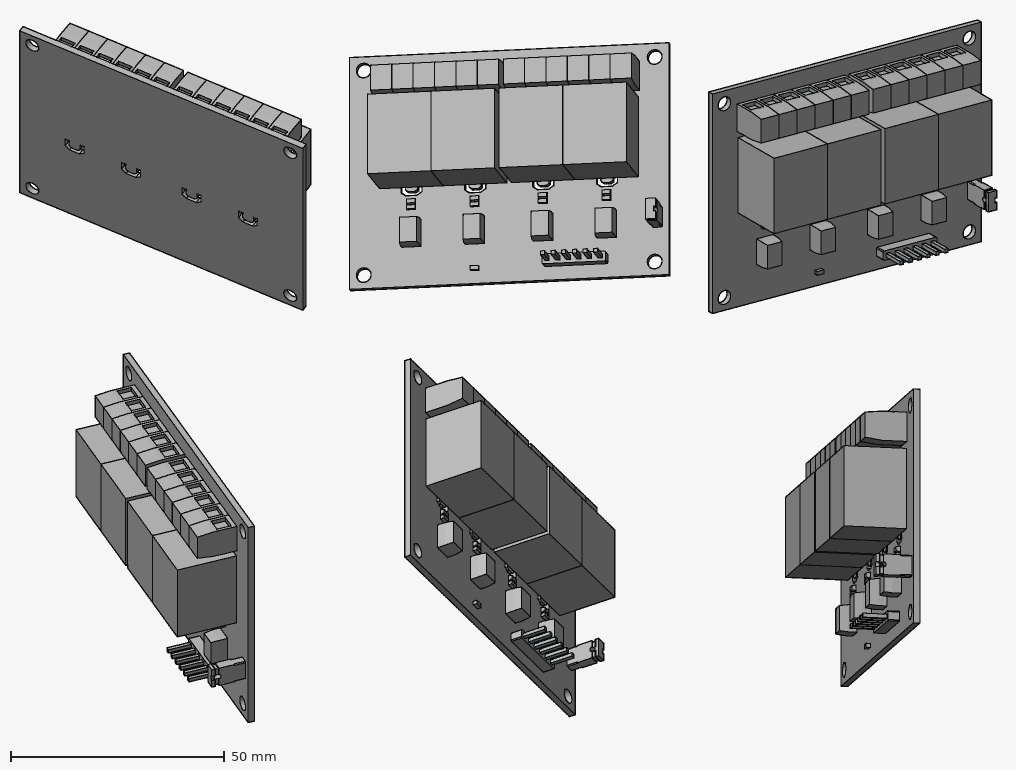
import cadquery as cq

BOARD_WIDTH = 76.3
BOARD_HEIGHT = 56.0
BOARD_THICKNESS = 1.6
MOUNT_HOLE_DIAMETER = 3.5
MOUNT_HOLE_X = 34.75
MOUNT_HOLE_Z = 24.7

PAIR_GAP = 1.12
RELAY_WIDTH = 15.15
RELAY_GAP = 0.06
RELAY_DEPTH = 15.0
RELAY_BOTTOM = -4.05
RELAY_TOP = 15.17
INNER_RELAY_X = (PAIR_GAP + RELAY_WIDTH) / 2
RELAY_PITCH = RELAY_WIDTH + RELAY_GAP
CHANNEL_X = (
    -INNER_RELAY_X - RELAY_PITCH,
    -INNER_RELAY_X,
    INNER_RELAY_X,
    INNER_RELAY_X + RELAY_PITCH,
)

SLOT_OUTER_HALF_WIDTH = 2.52
SLOT_INNER_HALF_WIDTH = 1.45
SLOT_TOP = -2.97
SLOT_OUTER_CORNER = -5.2
SLOT_BOTTOM = -6.02
SLOT_BOTTOM_HALF_WIDTH = 1.3
SLOT_INNER_CORNER = -4.6
SLOT_INNER_BOTTOM = -5.07
SLOT_INNER_BOTTOM_HALF_WIDTH = 0.8

POLE_COUNT = 6
POLE_PITCH = 5.11
POLE_WIDTH = 5.06
TERMINAL_DEPTH = 10.03
TERMINAL_STRAIGHT_DEPTH = 6.0
TERMINAL_TOP = 23.8
TERMINAL_BOTTOM = 16.8
TERMINAL_TIP_TOP = 23.4
TERMINAL_TIP_BOTTOM = 17.35
WIRE_ENTRY_SIZE = 3.6
WIRE_ENTRY_CENTRE_DEPTH = 2.92
WIRE_ENTRY_RECESS = 1.0

HEADER_WIDTH = 2.4
HEADER_DEPTH = 2.8
HEADER_CHAMFER = 0.25

JUMPER_X = -35.43
JUMPER_Z = -14.0
JUMPER_HEIGHT = 4.95
JUMPER_DEPTH = 8.63
JUMPER_GROOVE_BOTTOM = 6.8
JUMPER_GROOVE_TOP = 7.7
JUMPER_GROOVE_RECESS = 0.25
JUMPER_SLOT_WIDTH = 1.15
JUMPER_SLOT_BOTTOM = 6.25
JUMPER_NOTCH_RECESS = 0.5

INPUT_PIN_COUNT = 6
INPUT_PIN_PITCH = 2.54
INPUT_PIN_SIZE = 0.95
INPUT_PIN_DEPTH = 8.63
INPUT_HEADER_X = -16.0
INPUT_HEADER_Z = -23.5

OPTO_WIDTH = 4.6
OPTO_HEIGHT = 6.5
OPTO_BOTTOM = -18.45
OPTO_DEPTH = 4.2
OPTO_STRAIGHT_DEPTH = 2.1
OPTO_DRAFT_INSET = 0.25

CHIP_DEPTH = 1.0
CHIP_LENGTH = 2.0
CHIP_HEIGHT = 0.95
LED_Z = -7.55
LED_BASE_HEIGHT = 1.45
LED_TIP_HEIGHT = 0.95
CHANNEL_RESISTOR_Z = -8.98
INPUT_RESISTOR_Z = -24.38


def block(x, z, width, height, depth, start=0.0):
    """Box centred on x and z, running from start to depth above the component side."""
    return cq.Workplane("XY").box(width, depth - start, height).translate(
        (x, BOARD_THICKNESS + (start + depth) / 2, z)
    )


def profile_along_x(points, x, width):
    """Prism centred on x whose section is given as (depth, z) points."""
    section = [(BOARD_THICKNESS + depth, z) for depth, z in points]
    return cq.Workplane("YZ").polyline(section).close().extrude(width / 2, both=True).translate((x, 0, 0))


def through_board(outline):
    """Extrude an XZ sketch from the bare face through the board."""
    return outline.extrude(-BOARD_THICKNESS)


def slot_cutter(x):
    right_side = [
        (SLOT_INNER_BOTTOM_HALF_WIDTH, SLOT_INNER_BOTTOM),
        (SLOT_INNER_HALF_WIDTH, SLOT_INNER_CORNER),
        (SLOT_INNER_HALF_WIDTH, SLOT_TOP),
        (SLOT_OUTER_HALF_WIDTH, SLOT_TOP),
        (SLOT_OUTER_HALF_WIDTH, SLOT_OUTER_CORNER),
        (SLOT_BOTTOM_HALF_WIDTH, SLOT_BOTTOM),
    ]
    left_side = [(-px, pz) for px, pz in reversed(right_side)]
    return through_board(cq.Workplane("XZ").polyline(right_side + left_side).close()).translate((x, 0, 0))


def make_board():
    board = through_board(cq.Workplane("XZ").rect(BOARD_WIDTH, BOARD_HEIGHT))
    holes = (
        cq.Workplane("XZ")
        .rect(2 * MOUNT_HOLE_X, 2 * MOUNT_HOLE_Z, forConstruction=True)
        .vertices()
        .circle(MOUNT_HOLE_DIAMETER / 2)
    )
    board = board.cut(through_board(holes))
    for x in CHANNEL_X:
        board = board.cut(slot_cutter(x))
    return board


def make_relay(x):
    return block(x, (RELAY_TOP + RELAY_BOTTOM) / 2, RELAY_WIDTH, RELAY_TOP - RELAY_BOTTOM, RELAY_DEPTH)


def make_terminal_pole(x):
    section = [
        (0, TERMINAL_BOTTOM),
        (TERMINAL_STRAIGHT_DEPTH, TERMINAL_BOTTOM),
        (TERMINAL_DEPTH, TERMINAL_TIP_BOTTOM),
        (TERMINAL_DEPTH, TERMINAL_TIP_TOP),
        (TERMINAL_STRAIGHT_DEPTH, TERMINAL_TOP),
        (0, TERMINAL_TOP),
    ]
    wire_entry = block(
        x,
        TERMINAL_TOP - WIRE_ENTRY_RECESS / 2,
        WIRE_ENTRY_SIZE,
        WIRE_ENTRY_RECESS,
        WIRE_ENTRY_CENTRE_DEPTH + WIRE_ENTRY_SIZE / 2,
        WIRE_ENTRY_CENTRE_DEPTH - WIRE_ENTRY_SIZE / 2,
    )
    return profile_along_x(section, x, POLE_WIDTH).cut(wire_entry)


def make_header_body(x, z, width, height):
    return block(x, z, width, height, HEADER_DEPTH).edges("|Y").chamfer(HEADER_CHAMFER)


def make_jumper():
    header = make_header_body(JUMPER_X, JUMPER_Z, HEADER_WIDTH, JUMPER_HEIGHT)
    lower_cap = block(
        JUMPER_X, JUMPER_Z, HEADER_WIDTH, JUMPER_HEIGHT, JUMPER_GROOVE_BOTTOM, HEADER_DEPTH
    )
    neck = block(
        JUMPER_X,
        JUMPER_Z,
        HEADER_WIDTH - 2 * JUMPER_GROOVE_RECESS,
        JUMPER_HEIGHT - 2 * JUMPER_GROOVE_RECESS,
        JUMPER_GROOVE_TOP,
        JUMPER_GROOVE_BOTTOM,
    )
    end_bar = block(JUMPER_X, JUMPER_Z, HEADER_WIDTH, JUMPER_HEIGHT, JUMPER_DEPTH, JUMPER_GROOVE_TOP)

    slot_radius = JUMPER_SLOT_WIDTH / 2
    slot_arc_depth = JUMPER_SLOT_BOTTOM + slot_radius
    window = block(JUMPER_X, JUMPER_Z, HEADER_WIDTH, JUMPER_SLOT_WIDTH, JUMPER_GROOVE_TOP, slot_arc_depth)
    window_end = (
        cq.Workplane("YZ")
        .center(BOARD_THICKNESS + slot_arc_depth, JUMPER_Z)
        .circle(slot_radius)
        .extrude(HEADER_WIDTH / 2, both=True)
        .translate((JUMPER_X, 0, 0))
    )
    notch = block(
        JUMPER_X - (HEADER_WIDTH - JUMPER_NOTCH_RECESS) / 2,
        JUMPER_Z,
        JUMPER_NOTCH_RECESS,
        JUMPER_SLOT_WIDTH,
        JUMPER_DEPTH,
        JUMPER_GROOVE_TOP,
    )
    cap = lower_cap.union(neck).union(end_bar)
    return header.union(cap.cut(window).cut(window_end).cut(notch))


def make_input_header():
    header = make_header_body(
        INPUT_HEADER_X, INPUT_HEADER_Z, INPUT_PIN_COUNT * INPUT_PIN_PITCH, HEADER_WIDTH
    )
    for i in range(INPUT_PIN_COUNT):
        pin_x = INPUT_HEADER_X + (i - (INPUT_PIN_COUNT - 1) / 2) * INPUT_PIN_PITCH
        pin = block(pin_x, INPUT_HEADER_Z, INPUT_PIN_SIZE, INPUT_PIN_SIZE, INPUT_PIN_DEPTH)
        header = header.union(pin)
    return header


def make_optocoupler(x):
    """Straight lower half and an upper half drawn in on all four sides."""
    z = OPTO_BOTTOM + OPTO_HEIGHT / 2
    base = block(x, z, OPTO_WIDTH, OPTO_HEIGHT, OPTO_STRAIGHT_DEPTH)
    upper = (
        cq.Workplane("XZ", origin=(x, BOARD_THICKNESS + OPTO_STRAIGHT_DEPTH, z))
        .rect(OPTO_WIDTH, OPTO_HEIGHT)
        .workplane(offset=-(OPTO_DEPTH - OPTO_STRAIGHT_DEPTH))
        .rect(OPTO_WIDTH - 2 * OPTO_DRAFT_INSET, OPTO_HEIGHT - 2 * OPTO_DRAFT_INSET)
        .loft()
    )
    return base.union(upper)


def make_led(x):
    section = [
        (0, LED_Z - LED_BASE_HEIGHT / 2),
        (CHIP_DEPTH, LED_Z - LED_TIP_HEIGHT / 2),
        (CHIP_DEPTH, LED_Z + LED_TIP_HEIGHT / 2),
        (0, LED_Z + LED_BASE_HEIGHT / 2),
    ]
    return profile_along_x(section, x, CHIP_LENGTH)


def make_resistor(x, z):
    return block(x, z, CHIP_LENGTH, CHIP_HEIGHT, CHIP_DEPTH)


result = make_board()

for channel_x in CHANNEL_X:
    result = result.union(make_relay(channel_x))
    result = result.union(make_optocoupler(channel_x))
    result = result.union(make_led(channel_x))
    result = result.union(make_resistor(channel_x, CHANNEL_RESISTOR_Z))

for side in (-1, 1):
    for pole in range(POLE_COUNT):
        pole_x = side * (PAIR_GAP / 2 + POLE_WIDTH / 2 + pole * POLE_PITCH)
        result = result.union(make_terminal_pole(pole_x))

result = result.union(make_jumper())
result = result.union(make_input_header())
result = result.union(make_resistor(CHANNEL_X[2], INPUT_RESISTOR_Z))